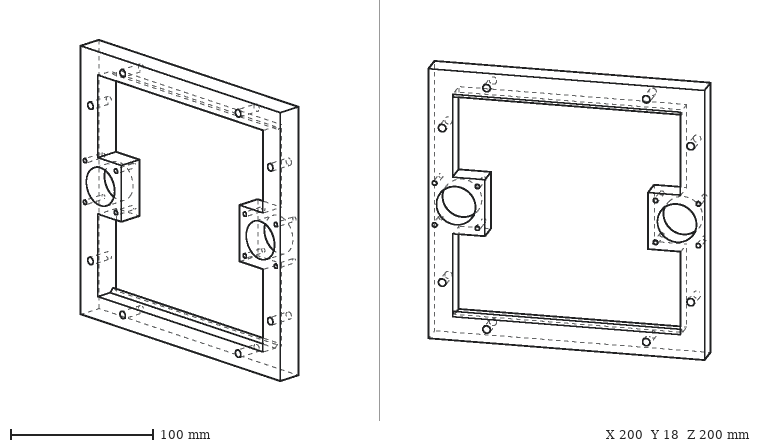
import cadquery as cq

FRAME_SIZE = 200.0
THICKNESS = 18.0
OPENING_SIZE = 165.0
BACK_Y = THICKNESS / 2

RIDGE_HEIGHT = 3.0
RIDGE_WIDTH = 2 * RIDGE_HEIGHT

MOUNT_X = 80.0
MOUNT_SIZE = 42.0
BORE_DIAMETER = 28.2
MOUNT_HOLE_SPACING = 31.0
MOUNT_HOLE_DIAMETER = 3.2

FIXING_DIAMETER = 5.5
FIXING_LINE = 90.0
FIXING_OFFSET = 57.8
FIXING_SHIFT = 1.0


def block(width, height):
    """Full-thickness block of the given X width and Z height."""
    return cq.Workplane("XY").box(width, THICKNESS, height)


def through_holes(points, diameter):
    """Cylinders along Y through the whole thickness at (x, z) points."""
    plane = cq.Workplane("XZ", origin=(0, BACK_Y, 0))
    return plane.pushPoints(points).circle(diameter / 2).extrude(THICKNESS)


def bottom_ridge():
    """Triangular ridge on the floor of the opening, flush with the back face."""
    floor_z = -OPENING_SIZE / 2
    profile = [
        (BACK_Y - RIDGE_WIDTH, floor_z),
        (BACK_Y, floor_z),
        (BACK_Y - RIDGE_WIDTH / 2, floor_z + RIDGE_HEIGHT),
    ]
    outline = cq.Workplane("YZ").polyline(profile).close()
    return outline.extrude(OPENING_SIZE / 2, both=True)


def add_motor_mount(body, centre_x):
    """Widen the rail around a motor bore and drill the bore and its four screw holes."""
    mount = block(MOUNT_SIZE, MOUNT_SIZE).translate((centre_x, 0, 0))
    body = body.union(mount.intersect(block(FRAME_SIZE, FRAME_SIZE)))

    half_spacing = MOUNT_HOLE_SPACING / 2
    screw_points = [
        (centre_x + x_sign * half_spacing, z_sign * half_spacing)
        for x_sign in (-1, 1)
        for z_sign in (-1, 1)
    ]
    body = body.cut(through_holes([(centre_x, 0)], BORE_DIAMETER))
    return body.cut(through_holes(screw_points, MOUNT_HOLE_DIAMETER))


def fixing_points():
    """(x, z) centres of the eight frame fixing holes."""
    points = []
    for x_sign in (-1, 1):
        for z_sign in (-1, 1):
            shift = FIXING_SHIFT if x_sign > 0 and z_sign > 0 else 0
            points.append((x_sign * FIXING_OFFSET, z_sign * FIXING_LINE - shift))
            points.append((x_sign * FIXING_LINE, z_sign * FIXING_OFFSET - shift))
    return points


frame = block(FRAME_SIZE, FRAME_SIZE).cut(block(OPENING_SIZE, OPENING_SIZE))
frame = frame.union(bottom_ridge()).union(bottom_ridge().mirror("XY"))

for mount_x in (-MOUNT_X, MOUNT_X):
    frame = add_motor_mount(frame, mount_x)

result = frame.cut(through_holes(fixing_points(), FIXING_DIAMETER))